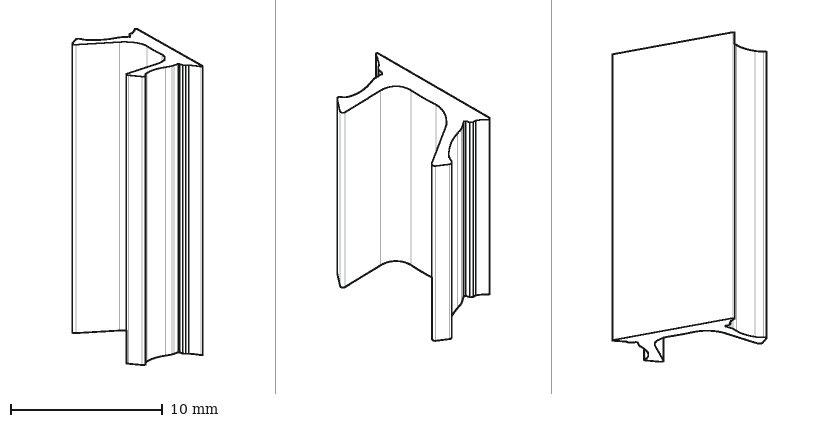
import cadquery as cq

length = 20.0
half_width = 4.58

lip_back_edge_x = 4.5
lip_tip_y = -0.08
lip_tip_bottom = (4.52, -0.18)
lip_slope_middle = (4.15, -0.45)
lip_slope_end = (3.9, -0.72)
lip_corner_top = (3.85, -0.92)
lip_corner_bottom = (3.68, -1.05)
neck_top = (3.4, -1.12)
neck = (3.3, -1.2)

leg_outer_x = 3.52
neck_slope_end = (3.45, -1.62)
leg_straight_top = -1.82
leg_straight_bottom = -2.3
leg_sweep_middle = (3.65, -3.18)
leg_sweep_end = (4.02, -3.95)
foot_curve_middle = (4.18, -4.12)
foot_curve_end = (4.45, -4.28)

foot_tip_y = -4.4
foot_slope_top = (4.52, -4.6)
foot_slope_bottom = (3.85, -5.25)
foot_inner = (3.52, -5.15)

channel_round_start = (2.62, -2.38)
channel_round_middle = (2.02, -1.52)
channel_round_end = (1.02, -1.18)
crown_rise = 0.05
crown_half_width, crown_edge_y = channel_round_end


def half_outline():
    """Half profile on the +X side, closed along the symmetry plane."""
    return (
        cq.Workplane("XY")
        .lineTo(lip_back_edge_x, 0)
        .threePointArc((half_width, lip_tip_y), lip_tip_bottom)
        .threePointArc(lip_slope_middle, lip_slope_end)
        .lineTo(*lip_corner_top)
        .lineTo(*lip_corner_bottom)
        .lineTo(*neck_top)
        .lineTo(*neck)
        .lineTo(*neck_slope_end)
        .lineTo(leg_outer_x, leg_straight_top)
        .lineTo(leg_outer_x, leg_straight_bottom)
        .threePointArc(leg_sweep_middle, leg_sweep_end)
        .threePointArc(foot_curve_middle, foot_curve_end)
        .threePointArc((half_width, foot_tip_y), foot_slope_top)
        .lineTo(*foot_slope_bottom)
        .tangentArcPoint(foot_inner, relative=False)
        .lineTo(*channel_round_start)
        .threePointArc(channel_round_middle, channel_round_end)
        .lineTo(0, crown_edge_y)
        .close()
    )


def channel_crown():
    """Shallow bulge along the channel floor, one arc from edge to edge."""
    return (
        cq.Workplane("XY")
        .moveTo(-crown_half_width, crown_edge_y)
        .threePointArc((0, crown_edge_y - crown_rise), channel_round_end)
        .close()
        .extrude(length)
    )


half = half_outline().extrude(length)
result = half.union(half.mirror("YZ")).union(channel_crown()).clean()